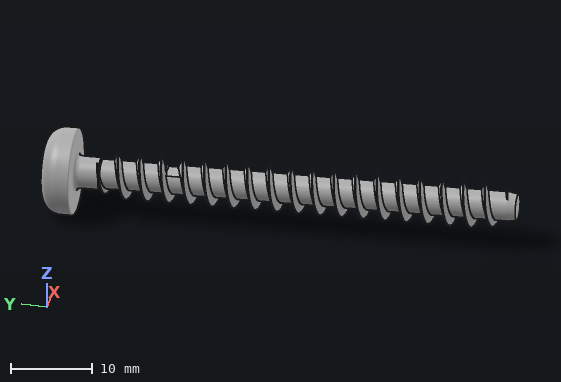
import cadquery as cq
import math

overall_length = 58.8

head_radius = 5.4
head_height = 3.8
head_dome_radius = 2.25
head_edge_radius = 0.2

shank_radius = 2.0
shank_end_depth = 6.8
neck_fillet_radius = 0.65

core_radius = 1.8
core_shoulder_length = 0.2
tip_radius = 1.65
tip_taper_length = 1.05

thread_radius = 2.95
full_start_depth = 8.6
full_end_depth = 55.25
turns_over_span = 15
turns_span = 40.35
thread_pitch = turns_span / turns_over_span
crest_at_plus_x_depth = 8.35
crest_width = 0.1
root_width = 0.9
root_overlap = 0.3
points_per_turn = 24

buried_crest_radius = 1.7

flat_start_depth = 15.05
flat_end_depth = 17.1
flat_height = 1.05


def make_body():
    """Head, shank and core as one turned profile."""
    shank_start_depth = head_height + neck_fillet_radius
    tip_taper_depth = overall_length - tip_taper_length
    diagonal = 0.5 ** 0.5
    dome_center_radius = head_radius - head_dome_radius
    dome_mid = (
        dome_center_radius + head_dome_radius * diagonal,
        -head_dome_radius * (1 - diagonal),
    )
    edge_mid = (
        head_radius - head_edge_radius * (1 - diagonal),
        -head_height + head_edge_radius * (1 - diagonal),
    )
    neck_mid = (
        shank_radius + neck_fillet_radius * (1 - diagonal),
        -head_height - neck_fillet_radius * (1 - diagonal),
    )
    profile = (
        cq.Workplane("XY")
        .lineTo(dome_center_radius, 0)
        .threePointArc(dome_mid, (head_radius, -head_dome_radius))
        .lineTo(head_radius, -head_height + head_edge_radius)
        .threePointArc(edge_mid, (head_radius - head_edge_radius, -head_height))
        .lineTo(shank_radius + neck_fillet_radius, -head_height)
        .threePointArc(neck_mid, (shank_radius, -shank_start_depth))
        .lineTo(shank_radius, -shank_end_depth)
        .lineTo(core_radius, -shank_end_depth - core_shoulder_length)
        .lineTo(core_radius, -tip_taper_depth)
        .lineTo(tip_radius, -overall_length)
        .lineTo(0, -overall_length)
        .close()
    )
    return profile.revolve(360, (0, 0, 0), (0, 1, 0))


def make_flat_cutter():
    """Block that leaves the flat on the core."""
    length = flat_end_depth - flat_start_depth
    block = cq.Workplane("XY").box(2 * core_radius, length, core_radius, centered=(True, True, False))
    return block.translate((0, -flat_start_depth - length / 2, flat_height))


def ridge_edge(start_depth, end_depth, start_radius, end_radius, start_half_width, end_half_width, side):
    """One helical edge of the ridge; side is +1 toward the head and -1 toward the tip."""
    length = end_depth - start_depth
    steps = math.ceil(length / thread_pitch * points_per_turn)
    points = []
    for step in range(steps + 1):
        share = step / steps
        depth = start_depth + share * length
        radius = start_radius + share * (end_radius - start_radius)
        half_width = start_half_width + share * (end_half_width - start_half_width)
        angle = 2 * math.pi * (depth - crest_at_plus_x_depth) / thread_pitch
        points.append(cq.Vector(
            radius * math.cos(angle),
            -depth + side * half_width,
            radius * math.sin(angle),
        ))
    return cq.Edge.makeSpline(points)


def make_ridge_piece(start_depth, end_depth, start_crest, end_crest):
    """Ridge between two depths, its crest radius changing evenly from one end to the other."""
    root_radius = core_radius - root_overlap
    flank_slope = (root_width - crest_width) / (thread_radius - core_radius)
    span = (start_depth, end_depth)
    crest_radii = (start_crest, end_crest)
    crest_half_widths = (crest_width / 2, crest_width / 2)
    root_radii = (root_radius, root_radius)
    root_half_widths = [(crest_width + flank_slope * (crest - root_radius)) / 2 for crest in crest_radii]
    edges = [
        ridge_edge(*span, *root_radii, *root_half_widths, 1),
        ridge_edge(*span, *crest_radii, *crest_half_widths, 1),
        ridge_edge(*span, *crest_radii, *crest_half_widths, -1),
        ridge_edge(*span, *root_radii, *root_half_widths, -1),
    ]
    faces = [cq.Face.makeRuledSurface(edges[index - 1], edge) for index, edge in enumerate(edges)]
    for end in (0, 1):
        corners = [edge.positionAt(end) for edge in edges]
        faces.append(cq.Face.makeFromWires(cq.Wire.makePolygon(corners, close=True)))
    return cq.Solid.makeSolid(cq.Shell.makeShell(faces))


def make_thread_pieces():
    """Rising turn, full-height turns and sinking turn, laid end to end."""
    full_length = full_end_depth - full_start_depth
    piece_count = math.ceil(full_length / thread_pitch)
    piece_length = full_length / piece_count
    pieces = [
        make_ridge_piece(
            full_start_depth - thread_pitch, full_start_depth, buried_crest_radius, thread_radius
        )
    ]
    for index in range(piece_count):
        start_depth = full_start_depth + index * piece_length
        pieces.append(
            make_ridge_piece(start_depth, start_depth + piece_length, thread_radius, thread_radius)
        )
    pieces.append(
        make_ridge_piece(full_end_depth, full_end_depth + thread_pitch, thread_radius, buried_crest_radius)
    )
    return pieces


body = make_body().cut(make_flat_cutter())
screw = body.val().fuse(*make_thread_pieces())
result = cq.Workplane(screw.Solids()[0])